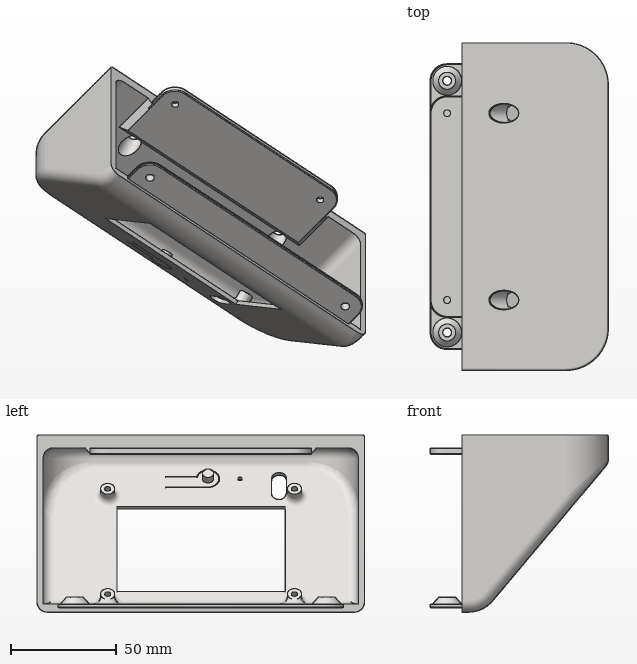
import cadquery as cq
import math

TOLERANCE = 0.002

LENGTH = 155.0
DEPTH = 69.3
HEIGHT = 83.9
SLOPE_DEG = 50.0
SLOPE_FOOT = 10.0
SLOPE_SIN = math.sin(math.radians(SLOPE_DEG))
SLOPE_COS = math.cos(math.radians(SLOPE_DEG))
SLOPE_TAN = SLOPE_SIN / SLOPE_COS

CORNER_R = 20.0
FOOT_BEND_R = 15.0
EDGE_R = 5.0
TOP_EDGE_R = 1.0

SIDE_WALL = 3.0
FLOOR = 4.0
CEILING = 6.0
FRONT_WALL = 4.0
PANEL = 2.0
CAVITY_CORNER_R = 23.0

TAB_REACH = 15.0
TAB_ROOT = 3.0
TAB_CORNER_R = 8.0
TAB_EDGE = 0.5
LOWER_TAB_LENGTH = 135.2
LOWER_TAB_THICKNESS = 2.0
UPPER_TAB_LENGTH = 104.8
UPPER_TAB_THICKNESS = 3.3
UPPER_TAB_HOLE_D = 3.3
CONE_BASE_D = 13.6
CONE_TOP_D = 8.0
CONE_HEIGHT = 3.1
CONE_HOLE_D = 4.0

PAD_DEPTH = 18.9
PAD_FLARE = 3.0

PANEL_CENTER_Y = -0.2
POST_Y = 44.2
POST_LOWER = 6.2
POST_UPPER = 71.1
POST_D = 6.7
POST_HEIGHT = 6.0
POST_FILLET = 3.1
POST_HOLE_D = 2.8
ACCESS_D = 8.7
ACCESS_X = 19.8
ACCESS_LIP = 0.3
WINDOW_LENGTH = 79.5
WINDOW_LOW = 12.9
WINDOW_HIGH = 65.4
BUTTON_Y = -3.3
BUTTON_UP = 82.5
PEG_D = 5.3
PEG_HEIGHT = 4.0
BUTTON_R = 5.5
SLIT = 0.3
TONGUE_END_Y = 16.9
TONGUE_TOP = 1.0
LAMP_HOLE_D = 2.0
LAMP_HOLE_Y = -18.5
SLOT_Y = -36.9
SLOT_UP = 78.0
SLOT_WIDTH = 7.0
SLOT_LENGTH = 16.6

INNER_FOOT = SLOPE_FOOT - PANEL / SLOPE_SIN
CEILING_Z = HEIGHT - CEILING
TAB_HOLE_X = TAB_CORNER_R - TAB_REACH

panel_plane = cq.Plane(
    origin=(INNER_FOOT, PANEL_CENTER_Y, 0), xDir=(0, -1, 0), normal=(-SLOPE_SIN, 0, SLOPE_COS)
)


def near(x, y, z):
    return cq.selectors.NearestToPointSelector((x, y, z))


def wedge(length, front_x, foot_x, bottom_z, top_z):
    """Prism along Y from X = 0: a rectangle whose lower front corner is cut by the slope."""
    points = [
        (0, bottom_z),
        (foot_x + bottom_z / SLOPE_TAN, bottom_z),
        (front_x, (front_x - foot_x) * SLOPE_TAN),
        (front_x, top_z),
        (0, top_z),
    ]
    return cq.Workplane("XZ").polyline(points).close().extrude(length / 2, both=True)


def make_outer():
    """Solid outside of the box, rounded everywhere except around the open rear face."""
    body = wedge(LENGTH, DEPTH, SLOPE_FOOT, 0, HEIGHT)
    body = body.edges("|Z and >X").fillet(CORNER_R)
    body = body.edges(near(SLOPE_FOOT, 0, 0)).fillet(FOOT_BEND_R)
    body = body.edges(near(0, LENGTH / 2, 0)).fillet(EDGE_R)
    return body.faces(">Z").edges("not <X").fillet(TOP_EDGE_R)


def make_cavity():
    """Inside of the box, rounded around the panel and under the ceiling."""
    front_x = DEPTH - FRONT_WALL
    body = wedge(LENGTH - 2 * SIDE_WALL, front_x, INNER_FOOT, FLOOR, CEILING_Z)
    body = body.edges("|Z and >X").fillet(CAVITY_CORNER_R)
    mid_height = HEIGHT / 2
    panel_face = near(INNER_FOOT + mid_height / SLOPE_TAN, 0, mid_height)
    body = body.faces(panel_face).edges().fillet(EDGE_R)
    return body.faces(">Z").edges("not <X").fillet(EDGE_R)


def make_tab(length, thickness, top_z):
    """Plate with two rounded free corners, rooted inside the box rim."""
    tab = (
        cq.Workplane("XY", origin=(0, 0, top_z - thickness))
        .rect(2 * TAB_REACH, length)
        .extrude(thickness)
        .edges("|Z and <X")
        .fillet(TAB_CORNER_R)
        .faces("<Z or >Z")
        .edges()
        .chamfer(TAB_EDGE)
    )
    keep_length = TAB_REACH + TAB_ROOT
    keep = cq.Workplane("XY").box(keep_length, LENGTH, HEIGHT, centered=(False, True, False))
    return tab.intersect(keep.translate((-TAB_REACH, 0, 0)))


def make_ceiling_pad():
    """Local thickening under the ceiling, flaring out toward it on all inner sides."""
    bottom_z = CEILING_Z - UPPER_TAB_THICKNESS
    half = UPPER_TAB_LENGTH / 2 - TAB_EDGE
    low = [(0, -half), (PAD_DEPTH, -half), (PAD_DEPTH, half), (0, half)]
    half_top = half + PAD_FLARE
    depth_top = PAD_DEPTH + PAD_FLARE
    high = [(0, -half_top), (depth_top, -half_top), (depth_top, half_top), (0, half_top)]
    return (
        cq.Workplane("XY", origin=(0, 0, bottom_z))
        .polyline(low)
        .close()
        .workplane(offset=UPPER_TAB_THICKNESS)
        .polyline(high)
        .close()
        .loft(ruled=True)
    )


def make_tab_cone(y):
    """Conical boss on the lower tab."""
    base_r = CONE_BASE_D / 2
    top_r = CONE_TOP_D / 2
    cone = cq.Solid.makeCone(base_r, top_r, CONE_HEIGHT, pnt=cq.Vector(TAB_HOLE_X, y, FLOOR))
    return cq.Workplane(cone)


def make_drill(x, y, diameter, top_z, bottom_z):
    """Upright cylinder for cutting a hole."""
    base = cq.Workplane("XY", origin=(x, y, bottom_z))
    return base.circle(diameter / 2).extrude(top_z - bottom_z)


def on_panel(y, up, body):
    """Move a body from the global origin to a place on the inner panel face."""
    plane = cq.Plane(
        origin=panel_plane.toWorldCoords((-y, up)), xDir=panel_plane.xDir, normal=panel_plane.zDir
    )
    return body.newObject([solid.moved(plane.location) for solid in body.vals()])


def add_post(body, y, up):
    """Add a screw post with its root filleted into the panel and, where it reaches, the floor."""
    post_r = POST_D / 2
    post = cq.Workplane("XY", origin=(0, 0, -PANEL)).circle(post_r).extrude(PANEL + POST_HEIGHT)
    screw_hole = cq.Workplane("XY").circle(POST_HOLE_D / 2).extrude(POST_HEIGHT)
    body = body.union(on_panel(y, up, post).intersect(outer))

    def is_root(edge):
        middle = panel_plane.toLocalCoords(edge.positionAt(0.5))
        on_cylinder = abs(math.hypot(middle.x + y, middle.y - up) - post_r) < TOLERANCE
        below_tip = middle.z < POST_HEIGHT - TOLERANCE
        return on_cylinder and below_tip and edge.geomType() != "LINE"

    root_edges = [edge for edge in body.edges().vals() if is_root(edge)]
    body = body.newObject(root_edges).fillet(POST_FILLET)
    return body.cut(on_panel(y, up, screw_hole))


def make_access_hole(y):
    """Screwdriver hole through the ceiling, square to the panel."""
    direction = cq.Vector(SLOPE_SIN, 0, -SLOPE_COS)
    start = cq.Vector(ACCESS_X, y, HEIGHT) - direction * ACCESS_D
    length = ACCESS_D + 2 * (CEILING + UPPER_TAB_THICKNESS)
    return cq.Workplane(cq.Solid.makeCylinder(ACCESS_D / 2, length, start, direction))


def make_button_slit():
    """Narrow slit around the peg that leaves a springy tongue."""
    end_x = BUTTON_Y - TONGUE_END_Y

    def outline(radius, top):
        top_x = -math.sqrt(radius**2 - top**2)
        return (
            cq.Workplane("XY", origin=(0, 0, -2 * PANEL))
            .moveTo(end_x, top)
            .lineTo(top_x, top)
            .threePointArc((radius, 0), (0, -radius))
            .lineTo(end_x, -radius)
            .close()
            .extrude(3 * PANEL)
        )

    return outline(BUTTON_R, TONGUE_TOP + SLIT).cut(outline(BUTTON_R - SLIT, TONGUE_TOP))


def panel_cut(sketch):
    """Cutter from a sketch on the inner panel face: through the panel and any post flare on it."""
    return sketch.extrude(POST_FILLET, both=True)


outer = make_outer()
shell = outer.cut(make_cavity())

shell = shell.union(make_ceiling_pad())
shell = shell.union(make_tab(UPPER_TAB_LENGTH, UPPER_TAB_THICKNESS, CEILING_Z))
shell = shell.union(make_tab(LOWER_TAB_LENGTH, LOWER_TAB_THICKNESS, FLOOR))

upper_tab_bottom = CEILING_Z - UPPER_TAB_THICKNESS
lower_hole_y = LOWER_TAB_LENGTH / 2 - TAB_CORNER_R
for side in (-1, 1):
    shell = shell.union(make_tab_cone(side * lower_hole_y))
    shell = shell.cut(
        make_drill(TAB_HOLE_X, side * lower_hole_y, CONE_HOLE_D, FLOOR + CONE_HEIGHT, 0)
    )
    shell = shell.cut(
        make_drill(TAB_HOLE_X, side * POST_Y, UPPER_TAB_HOLE_D, CEILING_Z, upper_tab_bottom)
    )
    shell = shell.cut(make_access_hole(side * POST_Y))
    shell = shell.faces(">Z").edges(near(ACCESS_X, side * POST_Y, HEIGHT)).chamfer(ACCESS_LIP)

for side in (-1, 1):
    for up in (POST_LOWER, POST_UPPER):
        shell = add_post(shell, side * POST_Y, up)

panel = cq.Workplane(panel_plane)
window_height = WINDOW_HIGH - WINDOW_LOW
shell = shell.cut(
    panel_cut(panel.center(0, WINDOW_LOW + window_height / 2).rect(WINDOW_LENGTH, window_height))
)
shell = shell.cut(panel_cut(panel.center(-SLOT_Y, SLOT_UP).slot2D(SLOT_LENGTH, SLOT_WIDTH, 90)))
shell = shell.cut(panel_cut(panel.center(-LAMP_HOLE_Y, BUTTON_UP).circle(LAMP_HOLE_D / 2)))
shell = shell.cut(on_panel(BUTTON_Y, BUTTON_UP, make_button_slit()))

peg = cq.Workplane("XY").circle(PEG_D / 2).extrude(PEG_HEIGHT)
result = shell.union(on_panel(BUTTON_Y, BUTTON_UP, peg))